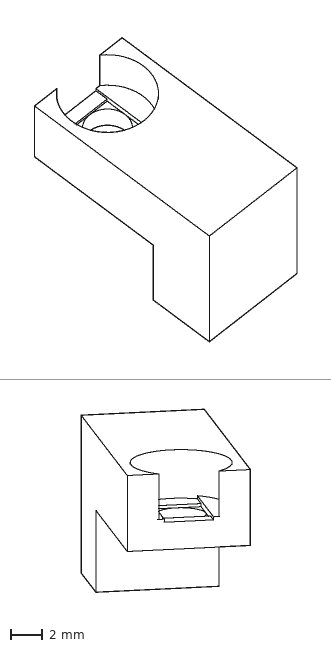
import cadquery as cq

length = 15.6
width = 8.0
height = 10.4
arm_thickness = 5.0
leg_length = 5.0

seat_x = 2.6
seat_diameter = 6.5
seat_depth = 3.0
hole_diameter = 3.2
step_depth = 0.2


def make_body():
    """Horizontal arm with a leg hanging from its far end."""
    arm = cq.Workplane("XY").box(length, width, arm_thickness, centered=(False, True, False))
    arm = arm.translate((0, 0, height - arm_thickness))
    leg = cq.Workplane("XY").box(leg_length, width, height, centered=(False, True, False))
    return arm.union(leg.translate((length - leg_length, 0, 0)))


def pocket_plane():
    """Top face of the arm, centred on the screw axis."""
    return cq.Workplane("XY", origin=(seat_x, 0, height))


def make_seat(depth):
    return pocket_plane().circle(seat_diameter / 2).extrude(-depth)


def make_screw_pocket():
    """Round seat, then a slot across it, then a square recess, then the round hole."""
    slot_depth = seat_depth + step_depth
    square_depth = slot_depth + step_depth

    seat = make_seat(seat_depth)
    slot = pocket_plane().rect(seat_diameter, hole_diameter).extrude(-slot_depth)
    slot = slot.intersect(make_seat(slot_depth))
    square = pocket_plane().rect(hole_diameter, hole_diameter).extrude(-square_depth)
    hole = pocket_plane().circle(hole_diameter / 2).extrude(-arm_thickness)
    return seat.union(slot).union(square).union(hole)


result = make_body().cut(make_screw_pocket())